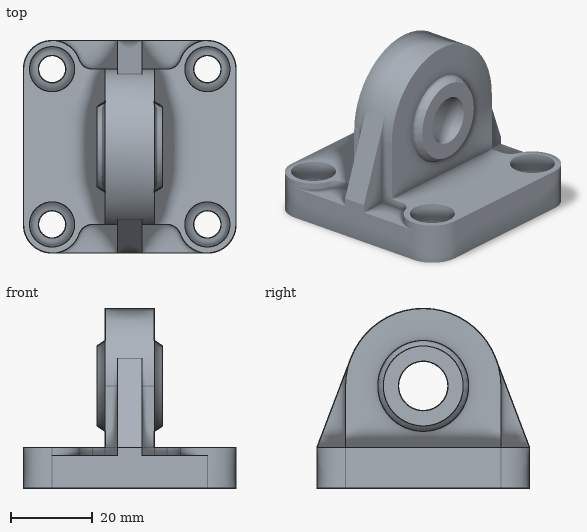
import cadquery as cq
import math

BASE_SIZE = 52.0
BASE_HEIGHT = 10.0
CORNER_RADIUS = 7.0
HOLE_OFFSET = BASE_SIZE / 2 - CORNER_RADIUS
HOLE_DIAMETER = 6.6
COUNTERBORE_DIAMETER = 11.0
COUNTERBORE_DEPTH = 4.45

LEDGE_DEPTH = 2.0
LEDGE_FILLET = 3.45

TOTAL_HEIGHT = 44.0
LUG_THICKNESS = 12.0
LUG_RADIUS = HOLE_OFFSET
EYE_HEIGHT = TOTAL_HEIGHT - LUG_RADIUS

RIB_THICKNESS = 6.0

BALL_RADIUS = 12.65
BALL_WIDTH = 16.0
BORE_DIAMETER = 12.0


def make_base():
    plate = (
        cq.Workplane("XY")
        .rect(BASE_SIZE, BASE_SIZE)
        .extrude(BASE_HEIGHT)
        .edges("|Z")
        .fillet(CORNER_RADIUS)
    )
    for side in (0, 180):
        plate = plate.cut(make_ledge_cutter().rotate((0, 0, 0), (0, 0, 1), side))
    return (
        plate.faces(">Z")
        .workplane(origin=(0, 0, BASE_HEIGHT))
        .rect(2 * HOLE_OFFSET, 2 * HOLE_OFFSET, forConstruction=True)
        .vertices()
        .cboreHole(HOLE_DIAMETER, COUNTERBORE_DIAMETER, COUNTERBORE_DEPTH)
    )


def make_ledge_cutter():
    """Recess at the -Y edge, bounded by the pad arcs and their fillets."""
    centre_distance = CORNER_RADIUS + LEDGE_FILLET
    run = math.sqrt(centre_distance**2 - LEDGE_FILLET**2)
    fillet_x = HOLE_OFFSET - run
    fillet_y = -HOLE_OFFSET - LEDGE_FILLET

    pad_share = CORNER_RADIUS / centre_distance
    meet_x = HOLE_OFFSET - run * pad_share
    meet_y = -HOLE_OFFSET - LEDGE_FILLET * pad_share

    meet_angle = math.asin(LEDGE_FILLET / centre_distance)
    mid_angle = (meet_angle + math.pi / 2) / 2
    pad_x = HOLE_OFFSET - CORNER_RADIUS * math.cos(mid_angle)
    pad_y = -HOLE_OFFSET - CORNER_RADIUS * math.sin(mid_angle)
    bend_x = fillet_x + LEDGE_FILLET * math.cos(mid_angle)
    bend_y = fillet_y + LEDGE_FILLET * math.sin(mid_angle)

    return (
        cq.Workplane("XY", origin=(0, 0, BASE_HEIGHT - LEDGE_DEPTH))
        .moveTo(-HOLE_OFFSET, -BASE_SIZE / 2)
        .lineTo(HOLE_OFFSET, -BASE_SIZE / 2)
        .threePointArc((pad_x, pad_y), (meet_x, meet_y))
        .threePointArc((bend_x, bend_y), (fillet_x, -HOLE_OFFSET))
        .lineTo(-fillet_x, -HOLE_OFFSET)
        .threePointArc((-bend_x, bend_y), (-meet_x, meet_y))
        .threePointArc((-pad_x, pad_y), (-HOLE_OFFSET, -BASE_SIZE / 2))
        .close()
        .extrude(LEDGE_DEPTH)
    )


def make_lug():
    return (
        cq.Workplane("YZ")
        .moveTo(-LUG_RADIUS, 0)
        .lineTo(LUG_RADIUS, 0)
        .lineTo(LUG_RADIUS, EYE_HEIGHT)
        .threePointArc((0, TOTAL_HEIGHT), (-LUG_RADIUS, EYE_HEIGHT))
        .close()
        .extrude(LUG_THICKNESS / 2, both=True)
    )


def make_ribs():
    """Both ribs in one profile; the slopes run from the plate edges tangent to the lug."""
    foot_y = BASE_SIZE / 2
    drop = EYE_HEIGHT - BASE_HEIGHT
    foot_distance = math.hypot(foot_y, drop)
    tangent_angle = math.acos(LUG_RADIUS / foot_distance) - math.atan2(drop, foot_y)
    tangent_y = LUG_RADIUS * math.cos(tangent_angle)
    tangent_z = EYE_HEIGHT + LUG_RADIUS * math.sin(tangent_angle)
    return (
        cq.Workplane("YZ")
        .polyline([
            (-foot_y, 0),
            (foot_y, 0),
            (foot_y, BASE_HEIGHT),
            (tangent_y, tangent_z),
            (-tangent_y, tangent_z),
            (-foot_y, BASE_HEIGHT),
        ])
        .close()
        .extrude(RIB_THICKNESS / 2, both=True)
    )


def make_ball_envelope():
    return cq.Workplane("XY").sphere(BALL_RADIUS).translate((0, 0, EYE_HEIGHT))


def make_housing():
    body = make_base().union(make_lug()).union(make_ribs())
    return body.cut(make_ball_envelope()).clean()


def make_ball():
    """Sphere cut flat at both ends and bored along X."""
    ring = (
        cq.Workplane("YZ", origin=(0, 0, EYE_HEIGHT))
        .circle(BALL_RADIUS)
        .circle(BORE_DIAMETER / 2)
        .extrude(BALL_WIDTH / 2, both=True)
    )
    return ring.intersect(make_ball_envelope())


housing = make_housing()
ball = make_ball()

result = cq.Compound.makeCompound([housing.val(), ball.val()])